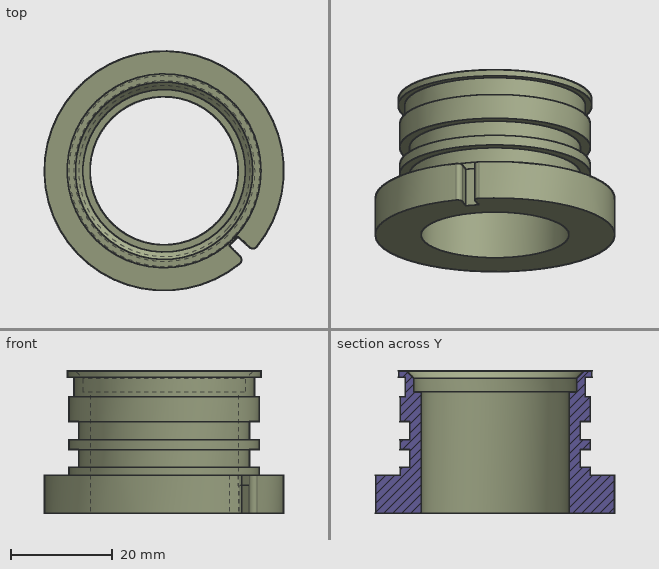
import cadquery as cq

flange_diameter = 47
flange_height = 7.5
total_height = 27.9
bore_diameter = 29.0

ring_diameter = 37.4
deep_groove_diameter = 33.55
shallow_groove_diameter = 35.5
lip_diameter = 38.0
sleeve_bands = [
    (ring_diameter, 9.05),
    (deep_groove_diameter, 12.5),
    (ring_diameter, 14.48),
    (deep_groove_diameter, 18.0),
    (ring_diameter, 22.9),
    (shallow_groove_diameter, 26.65),
    (lip_diameter, total_height),
]

counterbore_diameter = 31.85
counterbore_depth = 4.1
lead_in = 1.45

keyway_angle = -45
keyway_floor_radius = 19.4
keyway_straight_offset = 1.3
keyway_floor_offset = 1.1
keyway_rim_offset = 1.25
keyway_mouth_fillet = 1.0

undercut_height = 5.55
undercut_outer_radius = 22.1
undercut_depth = 0.25


def disc(diameter, bottom, top):
    return cq.Workplane("XY").workplane(offset=bottom).circle(diameter / 2).extrude(top - bottom)


def tapered_wall_offset(radius):
    """Distance of the tapered keyway wall from the keyway axis."""
    flange_radius = flange_diameter / 2
    along_wall = (radius - keyway_floor_radius) / (flange_radius - keyway_floor_radius)
    return keyway_floor_offset + along_wall * (keyway_rim_offset - keyway_floor_offset)


def make_keyway():
    """One straight wall and one slightly tapered wall, open at the rim."""
    open_radius = flange_diameter / 2 + 0.45
    return (
        cq.Workplane("XY")
        .moveTo(keyway_floor_radius, -keyway_straight_offset)
        .lineTo(open_radius, -keyway_straight_offset)
        .lineTo(open_radius, tapered_wall_offset(open_radius))
        .lineTo(keyway_floor_radius, keyway_floor_offset)
        .close()
        .extrude(flange_height)
    )


def make_undercut():
    """Wedge that deepens from the rim side towards the keyway floor."""
    return (
        cq.Workplane("XY")
        .moveTo(keyway_floor_radius, 0)
        .lineTo(undercut_outer_radius, 0)
        .lineTo(undercut_outer_radius, tapered_wall_offset(undercut_outer_radius))
        .lineTo(keyway_floor_radius, keyway_floor_offset + undercut_depth)
        .close()
        .extrude(undercut_height)
    )


def make_flange():
    """Flange made with its keyway along +X, then turned to the keyway angle."""
    flange_radius = flange_diameter / 2
    mouth_edges = cq.selectors.BoxSelector(
        (flange_radius - 0.45, -2 * keyway_straight_offset, 0),
        (flange_radius + 0.45, 2 * keyway_straight_offset, flange_height),
    )
    flange = disc(flange_diameter, 0, flange_height).cut(make_keyway())
    flange = flange.edges("|Z").edges(mouth_edges).fillet(keyway_mouth_fillet)
    return flange.cut(make_undercut()).rotate((0, 0, 0), (0, 0, 1), keyway_angle)


def make_sleeve():
    sleeve = cq.Workplane("XY")
    bottom = flange_height
    for diameter, top in sleeve_bands:
        sleeve = sleeve.union(disc(diameter, bottom, top))
        bottom = top
    return sleeve


def make_bore():
    counterbore = disc(counterbore_diameter, total_height - counterbore_depth, total_height)
    lead_in_cone = (
        cq.Workplane("XY")
        .workplane(offset=total_height - lead_in)
        .circle(counterbore_diameter / 2)
        .workplane(offset=lead_in)
        .circle(counterbore_diameter / 2 + lead_in)
        .loft()
    )
    return disc(bore_diameter, 0, total_height).union(counterbore).union(lead_in_cone)


result = make_flange().union(make_sleeve()).cut(make_bore())